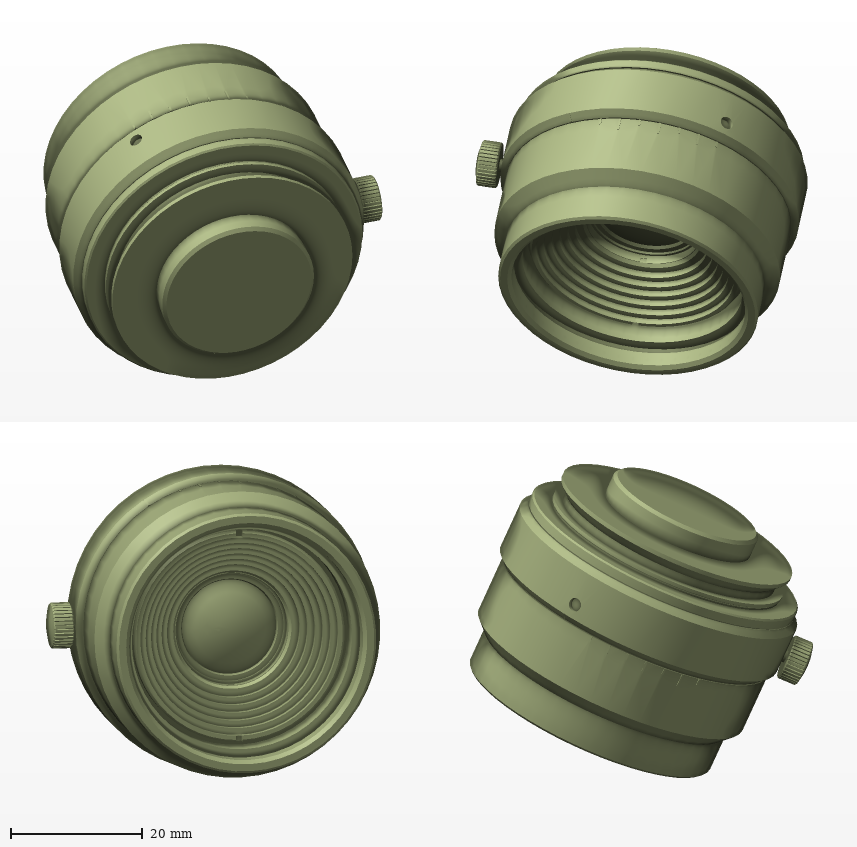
import cadquery as cq
import math

AXIS_DIRECTION = (1, 0, 0)
ORIGIN = (0, 0, 0)

total_length = 36.55
hood_radius = 20.0
hood_chamfer = 0.35
hood_end = 5.95
barrel_radius = 22.0
barrel_start = 8.0
barrel_end = 17.3
joint_width = 0.2
joint_depth = 0.3
ring_radius = 23.0
ring_end = 26.85
ring_chamfer = ring_radius - barrel_radius
flange_end = 28.6
flange_chamfer = 0.25
collar_radius = 18.85
collar_end = 28.9
mount_radius = 19.0
mount_disc_end = 29.65
v_groove_radius = 17.5
v_groove_floor_end = 30.9
mount_end = 33.05
rear_radius = 12.0
rear_chamfer = 0.5

mouth_radius = 18.55
thread_radius = 18.0
mouth_chamfer = mouth_radius - thread_radius
thread_end = 2.85
relief_radius = 18.7
relief_end = 4.1
sleeve_radius = 16.95
baffle_front = 6.25
baffle_radius = 16.25
baffle_rim_chamfer = 0.35
baffle_gap_end = 8.0
first_step_radius = 15.25
first_step_end = 7.2
last_step_end = 12.3
step_count = 6
step_size = 1.0
step_depth = (last_step_end - first_step_end) / (step_count - 1)
throat_radius = 9.1
retainer_front = 12.85
retainer_rim_radius = 8.75
retainer_radius = 8.65
retainer_end = 14.2
seat_radius = 8.25
seat_depth = 14.6
aperture_radius = 7.45
lens_radius = 7.25
lens_edge = 15.1
lens_bulge = 1.95

slot_width = 1.0
baffle_slot_depth = 1.2
retainer_slot_depth = 0.75

screw_x = 20.6
neck_radius = 1.0
knob_radius = 3.5
knob_base = 23.45
knob_shoulder = 26.5
knob_top = 27.0
knob_chamfer = 0.2
knurl_count = 36
knurl_depth = 0.25
knurl_half_angle = 2.6
set_hole_diameter = 2.05
set_hole_depth = 1.0
set_hole_angles = (120, 240)

mark_width = 0.3
mark_height = 0.1
mark_root = 0.5
short_mark = 1.0
long_mark = 2.0
mark_count = 7
mark_pitch = 8.0
first_mark_angle = 19.2
index_angle = 32.7


def revolve_about_axis(profile):
    return profile.close().revolve(360, ORIGIN, AXIS_DIRECTION)


def dome_arc_middle(edge_radius, height):
    """Radius and drop below the apex of a spherical dome's middle arc point."""
    sphere_radius = (edge_radius**2 + height**2) / (2 * height)
    half_angle = math.asin(edge_radius / sphere_radius) / 2
    return sphere_radius * math.sin(half_angle), sphere_radius * (1 - math.cos(half_angle))


def outer_body():
    ring_start = barrel_end + joint_width
    flange_start = ring_end + joint_width
    disc_start = collar_end + joint_width
    cone_end = v_groove_floor_end + mount_radius - v_groove_radius
    joint_radius = barrel_radius - joint_depth
    collar_joint_radius = collar_radius - joint_depth
    points = [
        (0, 0),
        (0, hood_radius - hood_chamfer),
        (hood_chamfer, hood_radius),
        (hood_end, hood_radius),
        (barrel_start, barrel_radius),
        (barrel_end, barrel_radius),
        (barrel_end, joint_radius),
        (ring_start, joint_radius),
        (ring_start, barrel_radius),
        (ring_start + ring_chamfer, ring_radius),
        (ring_end - ring_chamfer, ring_radius),
        (ring_end, barrel_radius),
        (ring_end, joint_radius),
        (flange_start, joint_radius),
        (flange_start, barrel_radius),
        (flange_end - flange_chamfer, barrel_radius),
        (flange_end, barrel_radius - flange_chamfer),
        (flange_end, collar_radius),
        (collar_end, collar_radius),
        (collar_end, collar_joint_radius),
        (disc_start, collar_joint_radius),
        (disc_start, mount_radius),
        (mount_disc_end, mount_radius),
        (mount_disc_end, v_groove_radius),
        (v_groove_floor_end, v_groove_radius),
        (cone_end, mount_radius),
        (mount_end, mount_radius),
        (mount_end, rear_radius),
        (total_length - rear_chamfer, rear_radius),
        (total_length, rear_radius - rear_chamfer),
        (total_length, 0),
    ]
    return revolve_about_axis(cq.Workplane("XY").polyline(points))


def front_cavity():
    points = [
        (0, 0),
        (0, mouth_radius),
        (mouth_chamfer, thread_radius),
        (thread_end, thread_radius),
        (thread_end, relief_radius),
        (relief_end, relief_radius),
        (relief_end, sleeve_radius),
        (baffle_gap_end, sleeve_radius),
        (baffle_gap_end, baffle_radius),
        (baffle_front + baffle_rim_chamfer, baffle_radius),
        (baffle_front, baffle_radius - baffle_rim_chamfer),
        (baffle_front, first_step_radius),
    ]
    for step in range(step_count):
        depth = first_step_end + step * step_depth
        radius = first_step_radius - step * step_size
        is_last = step == step_count - 1
        inner_radius = throat_radius if is_last else radius - step_size
        points.append((depth, radius))
        points.append((depth, inner_radius))
    points += [
        (retainer_front, retainer_rim_radius),
        (retainer_front, retainer_radius),
        (retainer_end, retainer_radius),
        (retainer_end, seat_radius),
        (seat_depth, seat_radius),
        (seat_depth, aperture_radius),
        (lens_edge, lens_radius),
    ]
    lens_front = lens_edge - lens_bulge
    middle_radius, middle_drop = dome_arc_middle(lens_radius, lens_bulge)
    arc_middle = (lens_front + middle_drop, middle_radius)
    profile = cq.Workplane("XY").polyline(points)
    return revolve_about_axis(profile.threePointArc(arc_middle, (lens_front, 0)))


def spanner_slots(front, inner_radius, outer_radius, depth):
    """A pair of radial slots at the top and bottom of a ring's front face."""
    height = outer_radius - inner_radius
    middle = (inner_radius + outer_radius) / 2
    return (
        cq.Workplane("YZ", origin=(front, 0, 0))
        .pushPoints([(0, middle), (0, -middle)])
        .rect(slot_width, height)
        .extrude(depth)
    )


def knurl_grooves():
    tip_radius = knob_radius - knurl_depth
    outside_radius = knob_radius + knurl_depth
    half_width = outside_radius * math.tan(math.radians(knurl_half_angle))
    groove = (
        cq.Workplane("XZ", origin=(screw_x, knob_base, 0))
        .polyline([(tip_radius, 0), (outside_radius, half_width), (outside_radius, -half_width)])
        .close()
        .extrude(knob_base - knob_top)
    )
    screw_axis_end = (screw_x, 1, 0)
    grooves = cq.Workplane("XY")
    for i in range(knurl_count):
        turned = groove.rotate((screw_x, 0, 0), screw_axis_end, i * 360 / knurl_count)
        grooves = grooves.add(turned)
    return grooves.combine()


def thumb_screw():
    """Thumb screw along +Y with a knurled, domed knob."""
    dome_edge = knob_radius - knob_chamfer
    middle_radius, middle_drop = dome_arc_middle(dome_edge, knob_top - knob_shoulder)
    dome_middle = (middle_radius, knob_top - middle_drop)
    screw = (
        cq.Workplane("XY", origin=(screw_x, 0, 0))
        .moveTo(0, barrel_radius)
        .lineTo(neck_radius, barrel_radius)
        .lineTo(neck_radius, knob_base)
        .lineTo(dome_edge, knob_base)
        .lineTo(knob_radius, knob_base + knob_chamfer)
        .lineTo(knob_radius, knob_shoulder - knob_chamfer)
        .lineTo(dome_edge, knob_shoulder)
        .threePointArc(dome_middle, (0, knob_top))
        .close()
        .revolve(360, ORIGIN, (0, 1, 0))
    )
    return screw.cut(knurl_grooves())


def set_screw_hole(angle):
    return (
        cq.Workplane("XZ", origin=(screw_x, ring_radius - set_hole_depth, 0))
        .circle(set_hole_diameter / 2)
        .extrude(-2 * set_hole_depth)
        .rotate(ORIGIN, AXIS_DIRECTION, angle)
    )


def graduation_line(number):
    """Raised line on the barrel, ending at the joint; every second one is long."""
    length = short_mark if number % 2 == 0 else long_mark
    angle = first_mark_angle - number * mark_pitch
    return (
        cq.Workplane("XY", origin=(barrel_end, 0, barrel_radius - mark_root))
        .box(length, mark_width, mark_root + mark_height, centered=(False, True, False))
        .translate((-length, 0, 0))
        .rotate(ORIGIN, AXIS_DIRECTION, -angle)
    )


def index_line():
    """Raised line running up the front chamfer of the clamping ring."""
    start = barrel_end + joint_width
    run = ring_chamfer - mark_height
    points = [
        (start, barrel_radius - mark_root),
        (start + run, barrel_radius + run - mark_root),
        (start + run, barrel_radius + run + mark_height),
        (start, barrel_radius + mark_height),
    ]
    return (
        cq.Workplane("XZ")
        .polyline(points)
        .close()
        .extrude(mark_width / 2, both=True)
        .rotate(ORIGIN, AXIS_DIRECTION, -index_angle)
    )


baffle_slots = spanner_slots(baffle_front, first_step_radius, baffle_radius, baffle_slot_depth)
retainer_slots = spanner_slots(retainer_front, seat_radius, retainer_rim_radius, retainer_slot_depth)

result = outer_body().cut(front_cavity())
result = result.cut(baffle_slots).cut(retainer_slots)
for hole_angle in set_hole_angles:
    result = result.cut(set_screw_hole(hole_angle))
result = result.union(thumb_screw())

marks = [graduation_line(number) for number in range(mark_count)] + [index_line()]
for half_turn in (0, 180):
    for mark in marks:
        result = result.union(mark.rotate(ORIGIN, AXIS_DIRECTION, half_turn))